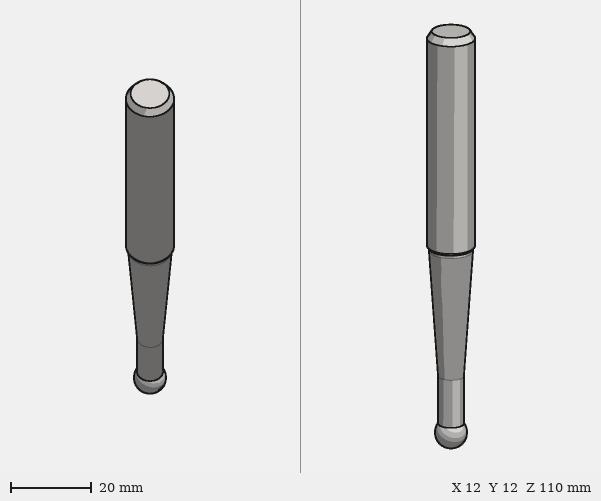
import cadquery as cq
import math

total_length = 110.0

shank_diameter = 12.0
shank_length = 57.3
top_chamfer_height = 1.9
top_chamfer_width = 1.2
bottom_chamfer = 0.7

collar_diameter = 11.0
collar_length = 0.7
taper_length = 33.0
neck_diameter = 6.5

ball_diameter = 8.0

shank_radius = shank_diameter / 2
collar_radius = collar_diameter / 2
neck_radius = neck_diameter / 2
ball_radius = ball_diameter / 2

shank_bottom = total_length - shank_length
taper_top = shank_bottom - collar_length
taper_bottom = taper_top - taper_length
ball_center = ball_radius
neck_bottom = ball_center + math.sqrt(ball_radius**2 - neck_radius**2)


def make_holder():
    """Revolved shank, collar, taper and neck, with a spherical socket that fits the ball."""
    half_angle = math.asin(neck_radius / ball_radius) / 2
    socket_midpoint = (
        ball_radius * math.sin(half_angle),
        ball_center + ball_radius * math.cos(half_angle),
    )
    return (
        cq.Workplane("XZ")
        .moveTo(0, ball_diameter)
        .threePointArc(socket_midpoint, (neck_radius, neck_bottom))
        .lineTo(neck_radius, taper_bottom)
        .lineTo(collar_radius, taper_top)
        .lineTo(collar_radius, shank_bottom)
        .lineTo(shank_radius - bottom_chamfer, shank_bottom)
        .lineTo(shank_radius, shank_bottom + bottom_chamfer)
        .lineTo(shank_radius, total_length - top_chamfer_height)
        .lineTo(shank_radius - top_chamfer_width, total_length)
        .lineTo(0, total_length)
        .close()
        .revolve(360, (0, 0, 0), (0, 1, 0))
    )


def make_ball():
    """Full ball, its top seated in the socket of the neck."""
    return cq.Workplane("XY", origin=(0, 0, ball_center)).sphere(ball_radius)


holder = make_holder()
ball = make_ball()

result = cq.Compound.makeCompound([holder.val(), ball.val()])